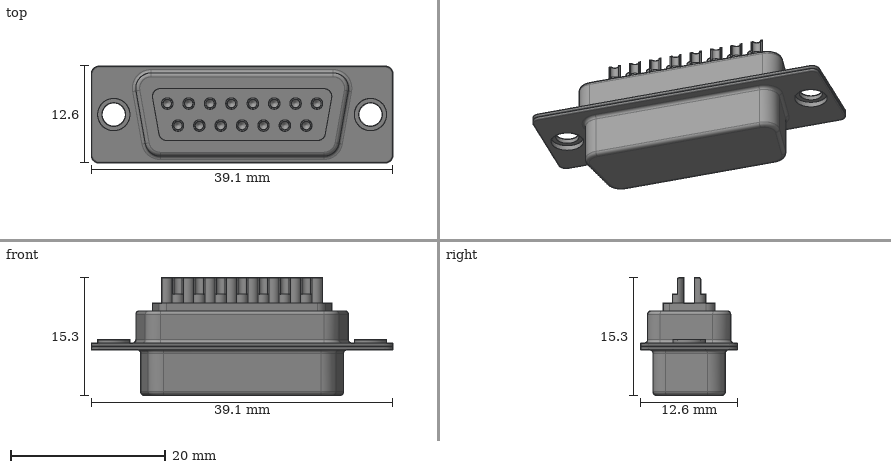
import cadquery as cq
import math


FLANGE_LENGTH = 39.12
FLANGE_WIDTH = 12.55
FLANGE_CORNER_RADIUS = 1.0
FLANGE_THICKNESS = 0.9
PLATE_THICKNESS = FLANGE_THICKNESS / 2
PLATE_EDGE_RADIUS = 0.1
MOUNT_HOLE_SPACING = 33.3
MOUNT_HOLE_DIAMETER = 3.0
EYELET_DIAMETER = 4.2
EYELET_HEIGHT = 0.43
EYELET_LIP_THICKNESS = 0.63

SIDE_ANGLE = math.radians(10.0)
SHELL_CORNER_RADIUS = 2.0
SHELL_EDGE_RADIUS = 0.5
SHELL_FOOT_RADIUS = 0.43

MATING_SHELL_HALF_WIDTH = 12.7
MATING_SHELL_DEPTH = 9.4
MATING_SHELL_HEIGHT = 5.9

REAR_SHELL_HALF_WIDTH = 13.22
REAR_SHELL_DEPTH = 10.8
REAR_SHELL_HEIGHT = 4.2

INSERT_HALF_WIDTH = 11.23
INSERT_DEPTH = 6.73
INSERT_HEIGHT = 0.98
INSERT_CORNER_RADIUS = 1.0

BACK_ROW_COUNT = 8
FRONT_ROW_COUNT = 7
BACK_ROW_LENGTH = 19.4
CUP_PITCH = BACK_ROW_LENGTH / (BACK_ROW_COUNT - 1)
ROW_SPACING = 2.85
CUP_DIAMETER = 1.5
CUP_BORE_DIAMETER = 1.1
CUP_HEIGHT = 3.33
CUP_STEP_HEIGHT = 1.17
CUP_OPENING_OFFSET = 0.098
CUP_LIP_RADIUS = 0.3
CUP_BORE_DEPTH = 2.8
DRILL_POINT_ANGLE = math.radians(118.0)

FLANGE_BOTTOM = MATING_SHELL_HEIGHT
FLANGE_TOP = FLANGE_BOTTOM + FLANGE_THICKNESS
REAR_SHELL_TOP = FLANGE_TOP + REAR_SHELL_HEIGHT
INSERT_TOP = REAR_SHELL_TOP + INSERT_HEIGHT

OVERLAP = 0.08


def d_prism(half_width, depth, corner_radius, bottom, height):
    """D-shaped prism, wider at +Y, with rounded vertical corners."""
    half_depth = depth / 2
    slant = half_depth * math.tan(SIDE_ANGLE)
    corners = [
        (-half_width - slant, half_depth),
        (half_width + slant, half_depth),
        (half_width - slant, -half_depth),
        (-half_width + slant, -half_depth),
    ]
    prism = cq.Workplane("XY").workplane(offset=bottom).polyline(corners).close().extrude(height)
    return prism.edges("|Z").fillet(corner_radius)


def cylinder(x, y, diameter, bottom, height):
    """Upright cylinder standing on the given level."""
    base = cq.Workplane("XY").workplane(offset=bottom).center(x, y)
    return base.circle(diameter / 2).extrude(height)


def flange_plate(bottom):
    """Rectangular sheet with rounded corners and softened rims."""
    plate = (
        cq.Workplane("XY")
        .workplane(offset=bottom)
        .rect(FLANGE_LENGTH, FLANGE_WIDTH)
        .extrude(PLATE_THICKNESS)
        .edges("|Z")
        .fillet(FLANGE_CORNER_RADIUS)
    )
    return plate.faces("<Z or >Z").edges().fillet(PLATE_EDGE_RADIUS)


def foot_edges(level, half_width, depth):
    """Selector for the edges at the foot of a shell, which leaves out the rim of the flange."""
    half_depth = depth / 2
    reach_x = half_width + half_depth * math.tan(SIDE_ANGLE) + OVERLAP
    reach_y = half_depth + OVERLAP
    low_corner = (-reach_x, -reach_y, level - OVERLAP)
    high_corner = (reach_x, reach_y, level + OVERLAP)
    return cq.selectors.BoxSelector(low_corner, high_corner, boundingbox=True)


def solder_cup(x, y, open_side):
    """Bored pin whose upper part is cut away on one side; open_side is the sign of that Y side."""
    top = INSERT_TOP + CUP_HEIGHT
    bore_bottom = top - CUP_BORE_DEPTH
    bore_radius = CUP_BORE_DIAMETER / 2
    point_depth = bore_radius / math.tan(DRILL_POINT_ANGLE / 2)
    pin = cylinder(0, 0, CUP_DIAMETER, INSERT_TOP - OVERLAP, CUP_HEIGHT + OVERLAP)
    bore = (
        cq.Workplane("XZ")
        .polyline([(0, top), (bore_radius, top), (bore_radius, bore_bottom), (0, bore_bottom - point_depth)])
        .close()
        .revolve(360, (0, 0), (0, 1))
    )
    step_level = INSERT_TOP + CUP_STEP_HEIGHT
    opening = (
        cq.Workplane("YZ")
        .moveTo(CUP_OPENING_OFFSET, step_level)
        .lineTo(CUP_OPENING_OFFSET, top - CUP_LIP_RADIUS)
        .radiusArc((CUP_OPENING_OFFSET - CUP_LIP_RADIUS, top), -CUP_LIP_RADIUS)
        .lineTo(CUP_DIAMETER, top)
        .lineTo(CUP_DIAMETER, step_level)
        .close()
        .extrude(CUP_DIAMETER / 2, both=True)
    )
    cup = pin.cut(bore).cut(opening)
    if open_side < 0:
        cup = cup.rotate((0, 0, 0), (0, 0, 1), 180)
    return cup.translate((x, y, 0))


result = flange_plate(FLANGE_BOTTOM).union(flange_plate(FLANGE_BOTTOM + PLATE_THICKNESS))

mating_shell = d_prism(
    MATING_SHELL_HALF_WIDTH, MATING_SHELL_DEPTH, SHELL_CORNER_RADIUS, 0, MATING_SHELL_HEIGHT + OVERLAP
)
result = result.union(mating_shell.faces("<Z").edges().fillet(SHELL_EDGE_RADIUS))

rear_shell = d_prism(
    REAR_SHELL_HALF_WIDTH,
    REAR_SHELL_DEPTH,
    SHELL_CORNER_RADIUS,
    FLANGE_TOP - OVERLAP,
    REAR_SHELL_HEIGHT + OVERLAP,
)
result = result.union(rear_shell.faces(">Z").edges().fillet(SHELL_EDGE_RADIUS))

for foot_level, half_width, depth in (
    (FLANGE_BOTTOM, MATING_SHELL_HALF_WIDTH, MATING_SHELL_DEPTH),
    (FLANGE_TOP, REAR_SHELL_HALF_WIDTH, REAR_SHELL_DEPTH),
):
    result = result.edges(foot_edges(foot_level, half_width, depth)).fillet(SHELL_FOOT_RADIUS)

insert = d_prism(
    INSERT_HALF_WIDTH, INSERT_DEPTH, INSERT_CORNER_RADIUS, REAR_SHELL_TOP - OVERLAP, INSERT_HEIGHT + OVERLAP
)
result = result.union(insert)

for side in (-1, 1):
    hole_x = side * MOUNT_HOLE_SPACING / 2
    eyelet = cylinder(hole_x, 0, EYELET_DIAMETER, FLANGE_TOP - OVERLAP, EYELET_HEIGHT + OVERLAP)
    hole_height = FLANGE_TOP + EYELET_HEIGHT - FLANGE_BOTTOM
    hole = cylinder(hole_x, 0, MOUNT_HOLE_DIAMETER, FLANGE_BOTTOM, hole_height)
    recess = cylinder(hole_x, 0, EYELET_DIAMETER, FLANGE_BOTTOM, hole_height - EYELET_LIP_THICKNESS)
    result = result.union(eyelet).cut(hole).cut(recess)

for cup_count, row_side in ((BACK_ROW_COUNT, 1), (FRONT_ROW_COUNT, -1)):
    for index in range(cup_count):
        cup_x = (index - (cup_count - 1) / 2) * CUP_PITCH
        result = result.union(solder_cup(cup_x, row_side * ROW_SPACING / 2, row_side))